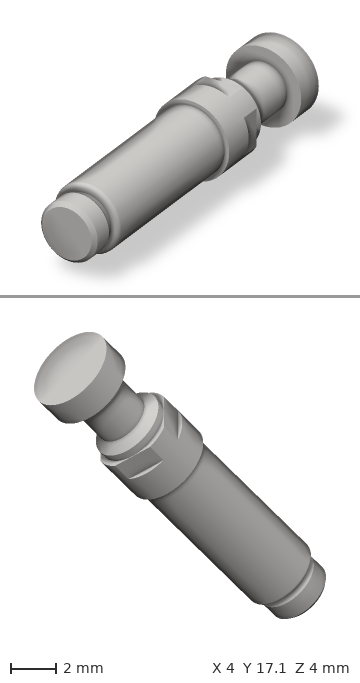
import cadquery as cq
import math


head_radius = 2.0
neck_radius = 1.25
body_radius = 1.75
shoulder_radius = 1.725
groove_radius = 1.35
tip_radius = 1.5

total_length = 17.1
head_length = 1.4
neck_length = 2.4
shoulder_length = 0.8
shoulder_cone_length = 0.4
collar_length = 2.55
tip_length = 1.1
groove_length = 0.4
groove_cone_length = 0.2

tip_chamfer = 0.2
body_end_fillet = 0.2

flat_count = 4
flat_length = 1.0
flat_distance = body_radius

groove_start = tip_length
groove_floor_start = tip_length + groove_cone_length
body_start = tip_length + groove_length
head_start = total_length - head_length
shoulder_end = head_start - neck_length
cone_start = shoulder_end - shoulder_cone_length
collar_end = shoulder_end - shoulder_length
collar_start = collar_end - collar_length


def make_turned_pin():
    """Revolve the half profile of the pin about the Y axis."""
    diagonal = body_end_fillet * math.sqrt(0.5)
    fillet_center_x = body_radius - body_end_fillet
    fillet_center_y = body_start + body_end_fillet
    profile = (
        cq.Workplane("XY")
        .lineTo(tip_radius - tip_chamfer, 0)
        .lineTo(tip_radius, tip_chamfer)
        .lineTo(tip_radius, groove_start)
        .lineTo(groove_radius, groove_floor_start)
        .lineTo(groove_radius, body_start)
        .lineTo(fillet_center_x, body_start)
        .threePointArc(
            (fillet_center_x + diagonal, fillet_center_y - diagonal),
            (body_radius, fillet_center_y),
        )
        .lineTo(body_radius, collar_start)
        .lineTo(head_radius, collar_start)
        .lineTo(head_radius, collar_end)
        .lineTo(shoulder_radius, collar_end)
        .lineTo(shoulder_radius, cone_start)
        .lineTo(neck_radius, shoulder_end)
        .lineTo(neck_radius, head_start)
        .lineTo(head_radius, head_start)
        .lineTo(head_radius, total_length)
        .lineTo(0, total_length)
        .close()
    )
    return profile.revolve(360, (0, 0, 0), (0, 1, 0))


def cut_collar_flats(pin):
    """Mill equally spaced flats into the head side of the collar."""
    cutter_width = 2 * head_radius
    cutter_depth = head_radius
    cutter = cq.Workplane("XY").box(cutter_width, flat_length, cutter_depth).translate(
        (0, collar_end - flat_length / 2, flat_distance + cutter_depth / 2)
    )
    for index in range(flat_count):
        angle = index * 360 / flat_count
        pin = pin.cut(cutter.rotate((0, 0, 0), (0, 1, 0), angle))
    return pin


result = cut_collar_flats(make_turned_pin())